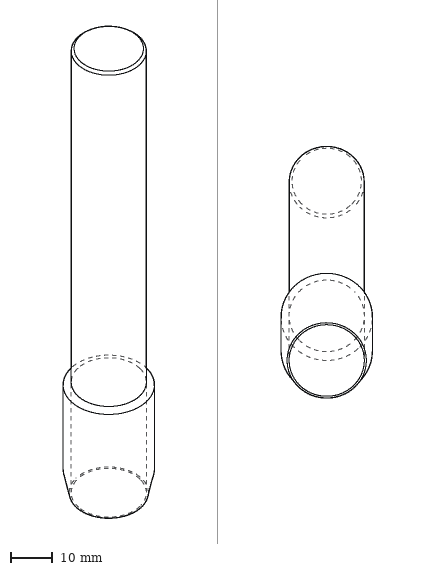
import cadquery as cq

total_length = 140.0
rod_diameter = 18.0
rod_chamfer = 0.7

sleeve_diameter = 22.0
sleeve_length = 34.9
shoulder_height = 0.8
nose_length = 7.4
nose_tip_diameter = 19.0


def make_rod():
    """Full-length round rod with a chamfered upper end."""
    rod = cq.Workplane("XY").circle(rod_diameter / 2).extrude(total_length)
    return rod.faces(">Z").chamfer(rod_chamfer)


def make_sleeve():
    """Sleeve with a bore for the rod, a tapered nose and a conical shoulder rising to the rod."""
    bore_radius = rod_diameter / 2
    outer_radius = sleeve_diameter / 2
    profile = [
        (bore_radius, 0),
        (nose_tip_diameter / 2, 0),
        (outer_radius, nose_length),
        (outer_radius, sleeve_length - shoulder_height),
        (bore_radius, sleeve_length),
    ]
    return cq.Workplane("XZ").polyline(profile).close().revolve(360, (0, 0), (0, 1))


rod = make_rod()
sleeve = make_sleeve()

result = cq.Compound.makeCompound([rod.val(), sleeve.val()])